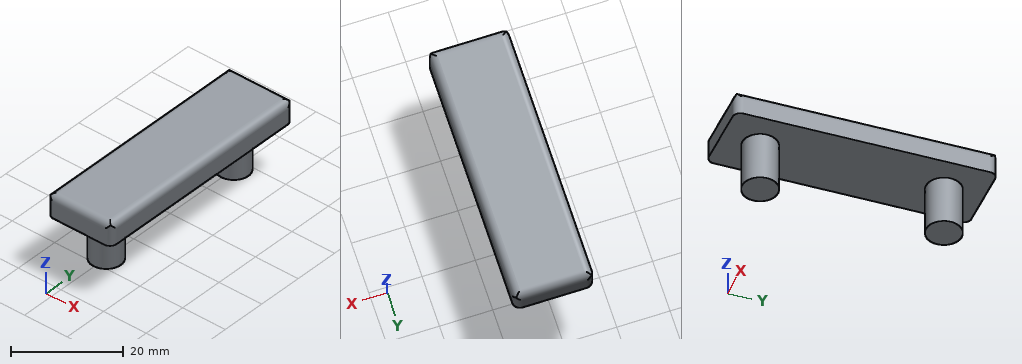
import cadquery as cq

bar_length = 50.0
bar_width = 15.0
bar_thickness = 5.0
edge_radius = 1.5

leg_diameter = 6.8
leg_length = 10.0
leg_spacing = 35.0


def make_block(rounded_edges):
    """Block the size of the bar, underside at Z = 0, with only the selected edges rounded."""
    block = cq.Workplane("XY").box(bar_width, bar_length, bar_thickness, centered=(True, True, False))
    return block.edges(rounded_edges).fillet(edge_radius)


def make_bar():
    """Bar whose rounded edges meet in mitred corners, as the overlap of three rounded blocks."""
    upright_edges = make_block("|Z")
    long_top_edges = make_block(">Z and |Y")
    short_top_edges = make_block(">Z and |X")
    return upright_edges.intersect(long_top_edges).intersect(short_top_edges)


def make_legs():
    """Two round legs hanging from the underside of the bar."""
    leg_centres = [(0, -leg_spacing / 2), (0, leg_spacing / 2)]
    return cq.Workplane("XY").pushPoints(leg_centres).circle(leg_diameter / 2).extrude(-leg_length)


result = make_bar().union(make_legs())